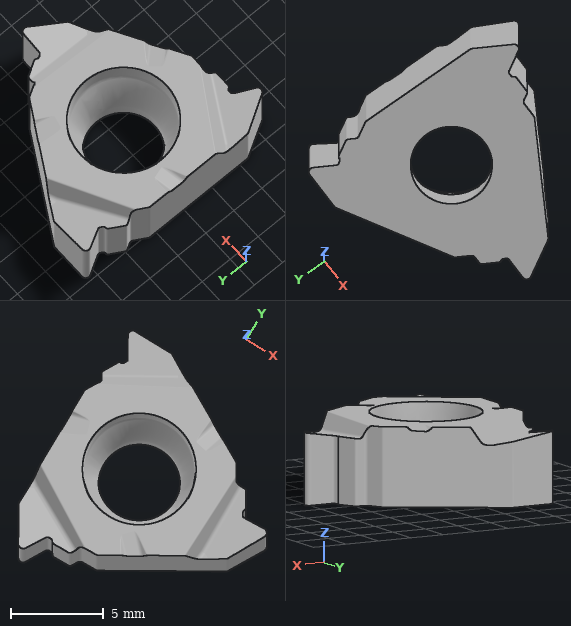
import cadquery as cq
import math

TEETH = 3
THICKNESS = 4.42
SIDE_DISTANCE = 4.75

TOOTH_HALF_ANGLE = 30
TIP_CENTRE_X = -3.37
TIP_CENTRE_Y = -6.64
TIP_RADIUS = 0.27
RELIEF_Y = -5.61
SHOULDER_Y = -5.78
BACK_Y = -5.25
STEP_X = -2.1
SHOULDER_END_X = -0.94
STEP_RADIUS = 0.16
SHOULDER_RADIUS = 0.17
BACK_RADIUS = 0.23
BLUNT_RADIUS = 0.24

HOLE_DIAMETER = 4.4
BORE_DIAMETER = 6.15
BORE_FLOOR_DIAMETER = 6.01
BORE_DEPTH = 1.14
SEAT_RADIUS = 3.88
SEAT_BLEND_RADIUS = 0.4

WALL_ANGLE = 60
WALL_DISTANCE = 4.63
WALL_SKEW = 1.9
GROOVE_RADIUS = 0.31
WALL_TOP_RADIUS = 0.13
RAKE_HEIGHT = 2.65
RAKE_SLOPE_OUT = 0.17
RAKE_SLOPE_ALONG = 0.073
RUNOUT_HEIGHT = 2.9
RUNOUT_SLOPE_OUT = 0.057
RUNOUT_SLOPE_ALONG = -0.098

RECESS_Y = 0.28
RECESS_DEPTH = 0.23
RECESS_WIDTH = 0.86
RECESS_AXIS_ANGLE = 13.6
RECESS_FALL_ANGLE = 17.5
RECESS_SLOPE = 0.18
RECESS_WALL_ANGLE = 42
RECESS_RADIUS = 0.3
RECESS_RIM_RADIUS = 0.12

REACH = 8.05


def around(shape):
    """Copies of a shape at every tooth position."""
    return [shape.rotate((0, 0, 0), (0, 0, 1), 360 / TEETH * i) for i in range(TEETH)]


def up_normal(slope_x, slope_y):
    """Upward unit normal of a plane with the given rises along X and Y."""
    return cq.Vector(-slope_x, -slope_y, 1).normalized()


def section_plane(origin, direction, floor_normal):
    """Plane across a tool: local Y along the floor normal, local Z along the tool."""
    return cq.Plane(origin=origin, xDir=floor_normal.cross(direction), normal=direction)


def tooth_corners():
    """Corners (x, y, rounding radius) of one third of the outline, counter-clockwise."""
    flank = 1 / math.tan(math.radians(TOOTH_HALF_ANGLE))
    side_angle = math.radians(180 / TEETH)
    apex_y = TIP_CENTRE_Y - TIP_RADIUS / math.sin(math.radians(TOOTH_HALF_ANGLE))
    heel_y = apex_y + (TIP_CENTRE_X + SIDE_DISTANCE) * flank
    root_x = TIP_CENTRE_X + (RELIEF_Y - apex_y) / flank
    half_step = (RELIEF_Y - SHOULDER_Y) / flank / 2
    back_x = SHOULDER_END_X + (BACK_Y - SHOULDER_Y) / flank
    side_x = (SIDE_DISTANCE + BACK_Y * math.sin(side_angle)) / math.cos(side_angle)
    return [
        (-SIDE_DISTANCE, heel_y, BLUNT_RADIUS),
        (TIP_CENTRE_X, apex_y, TIP_RADIUS),
        (root_x, RELIEF_Y, STEP_RADIUS),
        (STEP_X - half_step, RELIEF_Y, STEP_RADIUS),
        (STEP_X + half_step, SHOULDER_Y, STEP_RADIUS),
        (SHOULDER_END_X, SHOULDER_Y, SHOULDER_RADIUS),
        (back_x, BACK_Y, BACK_RADIUS),
        (side_x, BACK_Y, BLUNT_RADIUS),
    ]


def blank():
    """Prism with the toothed outline and its rounded upright edges."""
    corners = []
    for i in range(TEETH):
        turn = 2 * math.pi / TEETH * i
        for x, y, radius in tooth_corners():
            turned_x = x * math.cos(turn) - y * math.sin(turn)
            turned_y = x * math.sin(turn) + y * math.cos(turn)
            corners.append((turned_x, turned_y, radius))
    body = cq.Workplane("XY").polyline([(x, y) for x, y, _ in corners]).close().extrude(THICKNESS)
    for x, y, radius in corners:
        upright = cq.NearestToPointSelector((x, y, THICKNESS / 2))
        body = body.edges("|Z").edges(upright).fillet(radius)
    return body


def centre_hole():
    """Drafted bore, then a curved seat that runs smoothly into the through hole."""
    hole_radius = HOLE_DIAMETER / 2
    lip_radius = BORE_FLOOR_DIAMETER / 2
    seat_angle = math.acos(1 - (lip_radius - hole_radius) / SEAT_RADIUS)
    lip_z = THICKNESS - BORE_DEPTH
    seat_end_z = lip_z - SEAT_RADIUS * math.sin(seat_angle)
    seat_middle = (
        hole_radius + SEAT_RADIUS * (1 - math.cos(seat_angle / 2)),
        seat_end_z + SEAT_RADIUS * math.sin(seat_angle / 2),
    )
    hole = (
        cq.Workplane("XZ")
        .lineTo(hole_radius, 0)
        .lineTo(hole_radius, seat_end_z)
        .threePointArc(seat_middle, (lip_radius, lip_z))
        .lineTo(BORE_DIAMETER / 2, THICKNESS)
        .lineTo(0, THICKNESS)
        .close()
        .revolve(360, (0, 0), (0, 1))
    )
    lip = cq.NearestToPointSelector((0, 0, lip_z))
    return hole.edges("%CIRCLE").edges(lip).fillet(SEAT_BLEND_RADIUS)


def groove_tool(floor_height, slope_out, slope_along):
    """Prism above a sloping floor and outside the groove wall, with the corner between them rounded."""
    wall_slope = math.tan(math.radians(WALL_ANGLE))
    wall_normal = up_normal(-wall_slope, wall_slope * math.tan(math.radians(WALL_SKEW)))
    floor_normal = up_normal(slope_out, slope_along)
    corner_x = (THICKNESS + wall_slope * WALL_DISTANCE - floor_height) / (wall_slope + slope_out)
    corner = cq.Vector(corner_x, 0, floor_height + slope_out * corner_x)
    along = wall_normal.cross(floor_normal)
    turn = wall_normal.getAngle(floor_normal)
    wall_run = REACH / math.tan(turn)
    return (
        cq.Workplane(section_plane(corner, along, floor_normal))
        .polyline([(0, 0), (REACH, 0), (REACH, REACH), (-wall_run, REACH)])
        .close()
        .extrude(REACH, both=True)
        .edges(cq.NearestToPointSelector(corner.toTuple()))
        .fillet(GROOVE_RADIUS)
    )


def chip_groove():
    """Rake face along the tooth, limited by the run-out plane at its low end."""
    rake = groove_tool(RAKE_HEIGHT, RAKE_SLOPE_OUT, RAKE_SLOPE_ALONG)
    runout = groove_tool(RUNOUT_HEIGHT, RUNOUT_SLOPE_OUT, RUNOUT_SLOPE_ALONG)
    return rake.intersect(runout)


def recess():
    """Flared channel that rises inwards until its floor meets the top face."""
    fall = math.radians(RECESS_FALL_ANGLE)
    axis = math.radians(RECESS_AXIS_ANGLE)
    floor_normal = up_normal(RECESS_SLOPE * math.cos(fall), RECESS_SLOPE * math.sin(fall))
    across = cq.Vector(-math.sin(axis), math.cos(axis), 0)
    along = across.cross(floor_normal)
    middle = cq.Vector(-SIDE_DISTANCE, RECESS_Y, THICKNESS - RECESS_DEPTH)
    half_floor = RECESS_WIDTH / 2
    height = 3 * RECESS_DEPTH
    half_top = half_floor + height / math.tan(math.radians(RECESS_WALL_ANGLE))
    length = SIDE_DISTANCE / 2
    channel = (
        cq.Workplane(section_plane(middle, along, floor_normal))
        .polyline([(-half_floor, 0), (half_floor, 0), (half_top, height), (-half_top, height)])
        .close()
        .extrude(length, both=True)
    )
    for edge_y in (-half_floor, half_floor):
        floor_edge = cq.NearestToPointSelector((middle + across * edge_y).toTuple())
        channel = channel.edges(floor_edge).fillet(RECESS_RADIUS)
    return channel


body = blank().cut(centre_hole())
for tool in around(chip_groove()):
    body = body.cut(tool)

for wall_top in around(cq.Vertex.makeVertex(WALL_DISTANCE, 0, THICKNESS)):
    top_edge = cq.NearestToPointSelector(wall_top.toTuple())
    body = body.edges(top_edge).fillet(WALL_TOP_RADIUS)

for tool in around(recess()):
    body = body.cut(tool)

for rim in around(cq.Vertex.makeVertex(-SIDE_DISTANCE, RECESS_Y - RECESS_WIDTH, THICKNESS)):
    rim_edge = cq.NearestToPointSelector(rim.toTuple())
    body = body.faces(">Z").edges(rim_edge).fillet(RECESS_RIM_RADIUS)

result = body